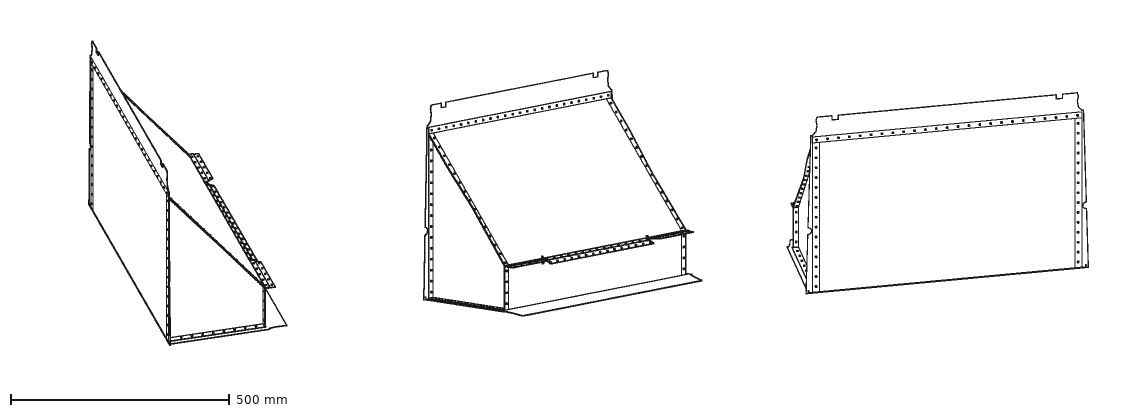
import cadquery as cq
import math

SHEET = 1.6
RIVET_HOLE = 4.0
THROUGH = 6.5

BASE_HEIGHT = 450.5
FRONT_HALF_BOTTOM = 330.0
FRONT_HALF_SHOULDER = 319.0
SHOULDER_Z = 404.0
FLOOR_HALF = 325.0
CHUTE_BEND_Y = 240.5
CHUTE_END_Y = 285.5
CHUTE_DROP = 6.5
CHUTE_HALF_START = 321.0
CHUTE_HALF_MIDDLE = 314.5
CHUTE_MIDDLE_Y = 259.0
CHUTE_HALF_END = 309.0
TOP_NOTCH_INNER = 255.0
TOP_NOTCH_OUTER = 269.5
TOP_NOTCH_DEPTH = 10.5
SIDE_NOTCH_Z = 160.0
SIDE_NOTCH_RADIUS = 8.5
CORNER_HOLE = 2.0
CORNER_HOLE_X = 324.5
CORNER_HOLE_Z = 6.0

REAR_Y = 234.0
BOX_HALF = 315.0
WEB_X = 300.5
LIP_BEND_Z = 106.0
SLOPE_ANGLE = 50.5
SLOPE_RISE = math.tan(math.radians(SLOPE_ANGLE))
COVER_TOP_Z = 400.5
FLANGE_Y = 2 * SHEET

WAIST_START_Y = 61.0
WAIST_Y = 130.0
WAIST_HALF = 309.0
LIP_HALF = 312.5

LIP_TILT = 23.0
CENTER_HALF = 178.5
SLOT_OUTER = 183.5
SLOT_BOTTOM_Y = 230.5
SLOT_BOTTOM_Z = 92.5
COVER_END_LIP_Y = 244.5
COVER_CENTER_LIP_Y = 242.5
REAR_END_LIP_Y = 257.0
REAR_CENTER_LIP_Y = 255.0
END_LIP_TIP_X = 195.5

RIVET_X = 306.5
REAR_RIVET_X = 305.0
RIVET_PITCH = 25.45
TOP_ROW_Z = 392.5
TOP_ROW_COUNT = 25
LOWEST_RIVET_Z = 16.0
FRONT_COLUMN_COUNT = 15
REAR_COLUMN_COUNT = 4
FLOOR_ROW_Y = 34.5
FLOOR_ROW_COUNT = 8
SLOPE_ROW_START_Y = 11.0
SLOPE_ROW_END_Y = 229.0
SLOPE_ROW_COUNT = 15
END_LIP_RIVET_X = 300.5
END_LIP_COUNT = 5
CENTER_LIP_RIVET_X = 172.5
CENTER_LIP_COUNT = 15
LIP_INNER_ROW_Y = 238.5
END_LIP_OUTER_ROW_Y = 252.0
CENTER_LIP_OUTER_ROW_Y = 248.5


def both_sides(points):
    """Close a symmetric outline from its right half, listed from start to end."""
    return points + [(-x, v) for x, v in reversed(points)]


def evenly(start, end, count):
    return [start + (end - start) * i / (count - 1) for i in range(count)]


def run(start, pitch, count):
    return [start + pitch * i for i in range(count)]


def bent_sheet(path, x_start, x_end):
    """Sheet following a (y, z) path, with its thickness to the left of the path direction."""
    angles = [math.atan2(b[1] - a[1], b[0] - a[0]) for a, b in zip(path, path[1:])]
    arriving = angles[:1] + angles
    leaving = angles + angles[-1:]
    far_side = []
    for (y, z), before, after in zip(path, arriving, leaving):
        normal = (before + after + math.pi) / 2
        reach = SHEET / math.cos((after - before) / 2)
        far_side.append((y + reach * math.cos(normal), z + reach * math.sin(normal)))
    outline = path + far_side[::-1]
    return cq.Workplane("YZ").workplane(offset=x_start).polyline(outline).close().extrude(x_end - x_start)


def holes(points, direction):
    """Rivet hole cutters centred on the given points along a direction."""
    cutters = [
        cq.Solid.makeCylinder(RIVET_HOLE / 2, 2 * THROUGH, cq.Vector(p) - cq.Vector(direction) * THROUGH,
                              cq.Vector(direction))
        for p in points
    ]
    return cq.Workplane(cq.Compound.makeCompound(cutters))


def slope_z(y):
    return LIP_BEND_Z + (REAR_Y - y) * SLOPE_RISE


def lip_z(y, tilt, depth):
    """Height of a lip face, measured at a depth below the cover's top face."""
    return LIP_BEND_Z - depth / math.cos(tilt) - math.tan(tilt) * (y - REAR_Y)


def side_columns(x, y, count):
    zs = run(LOWEST_RIVET_Z, RIVET_PITCH, count)
    return holes([(s * x, y, z) for s in (-1, 1) for z in zs], (0, 1, 0))


top_row_half = RIVET_PITCH * (TOP_ROW_COUNT - 1) / 2
top_row_holes = holes([(x, 0, TOP_ROW_Z) for x in evenly(-top_row_half, top_row_half, TOP_ROW_COUNT)], (0, 1, 0))
front_holes = side_columns(RIVET_X, 0, FRONT_COLUMN_COUNT)
rear_holes = side_columns(REAR_RIVET_X, REAR_Y, REAR_COLUMN_COUNT)
floor_holes = holes(
    [(s * RIVET_X, y, 0) for s in (-1, 1) for y in run(FLOOR_ROW_Y, RIVET_PITCH, FLOOR_ROW_COUNT)], (0, 0, 1)
)
slope_normal = (0, math.sin(math.radians(SLOPE_ANGLE)), math.cos(math.radians(SLOPE_ANGLE)))
slope_holes = holes(
    [(s * REAR_RIVET_X, y, slope_z(y)) for s in (-1, 1)
     for y in evenly(SLOPE_ROW_START_Y, SLOPE_ROW_END_Y, SLOPE_ROW_COUNT)],
    slope_normal,
)
end_lip_xs = run(END_LIP_RIVET_X, -RIVET_PITCH, END_LIP_COUNT)
end_lip_points = [(s * x, y, LIP_BEND_Z) for s in (-1, 1) for x in end_lip_xs
                  for y in (LIP_INNER_ROW_Y, END_LIP_OUTER_ROW_Y)]
center_lip_points = [(x, y, lip_z(y, math.radians(LIP_TILT), 0))
                     for x in evenly(-CENTER_LIP_RIVET_X, CENTER_LIP_RIVET_X, CENTER_LIP_COUNT)
                     for y in (LIP_INNER_ROW_Y, CENTER_LIP_OUTER_ROW_Y)]
lip_holes = holes(end_lip_points + center_lip_points, (0, 0, 1))


def make_base():
    half = [
        (FRONT_HALF_BOTTOM, 0), (FRONT_HALF_SHOULDER, SHOULDER_Z), (316.0, SHOULDER_Z), (307.0, 413.5),
        (304.5, 429.5), (307.0, 441.0), (304.5, BASE_HEIGHT),
        (TOP_NOTCH_OUTER, BASE_HEIGHT), (TOP_NOTCH_OUTER, BASE_HEIGHT - TOP_NOTCH_DEPTH),
        (TOP_NOTCH_INNER, BASE_HEIGHT - TOP_NOTCH_DEPTH), (TOP_NOTCH_INNER, BASE_HEIGHT),
    ]
    front = cq.Workplane("XZ").polyline(both_sides(half)).close().extrude(-SHEET)
    corner_holes = (
        cq.Workplane("XZ").pushPoints([(-CORNER_HOLE_X, CORNER_HOLE_Z), (CORNER_HOLE_X, CORNER_HOLE_Z)])
        .circle(CORNER_HOLE / 2).extrude(-SHEET)
    )
    edge = FRONT_HALF_BOTTOM - (FRONT_HALF_BOTTOM - FRONT_HALF_SHOULDER) * SIDE_NOTCH_Z / SHOULDER_Z
    notches = (
        cq.Workplane("XZ").pushPoints([(-edge, SIDE_NOTCH_Z), (edge, SIDE_NOTCH_Z)])
        .circle(SIDE_NOTCH_RADIUS).extrude(-SHEET)
    )
    run_out = CHUTE_END_Y + SHEET
    drop = CHUTE_DROP / (CHUTE_END_Y - CHUTE_BEND_Y)
    floor = bent_sheet([(0, 0), (CHUTE_BEND_Y, 0), (run_out, -drop * (run_out - CHUTE_BEND_Y))],
                       -FLOOR_HALF, FLOOR_HALF)
    plan = both_sides([
        (FLOOR_HALF, 0), (FLOOR_HALF, CHUTE_BEND_Y), (CHUTE_HALF_START, CHUTE_BEND_Y),
        (CHUTE_HALF_MIDDLE, CHUTE_MIDDLE_Y), (CHUTE_HALF_END, CHUTE_END_Y),
    ])
    floor = floor.intersect(cq.Workplane("XY").polyline(plan).close().extrude(BASE_HEIGHT, both=True))
    body = front.cut(notches).cut(corner_holes).union(floor)
    return body.cut(top_row_holes).cut(front_holes).cut(floor_holes)


def slope_waist():
    """Shallow cut into both side edges of the slope, leaving the floor flanges whole."""
    waste = (
        cq.Workplane("XY").workplane(offset=2 * SHEET)
        .polyline([(BOX_HALF, WAIST_START_Y), (WAIST_HALF, WAIST_Y), (LIP_HALF, REAR_Y - 2 * SHEET),
                   (LIP_HALF, CHUTE_END_Y), (FLOOR_HALF, CHUTE_END_Y), (FLOOR_HALF, WAIST_START_Y)])
        .close().extrude(BASE_HEIGHT)
    )
    return waste.union(waste.mirror("YZ"))


def lip_gaps():
    """Slots between the lips, each widening along the bevelled end lip."""
    outline = [
        (CENTER_HALF, SLOT_BOTTOM_Y), (SLOT_OUTER, SLOT_BOTTOM_Y), (SLOT_OUTER, LIP_INNER_ROW_Y),
        (END_LIP_TIP_X, REAR_END_LIP_Y), (CENTER_HALF, REAR_END_LIP_Y),
    ]
    gap = cq.Workplane("XY").workplane(offset=SLOT_BOTTOM_Z).polyline(outline).close().extrude(BASE_HEIGHT)
    return gap.union(gap.mirror("YZ"))


def cover_strip(tilt, lip_y, x_start, x_end):
    path = [(lip_y, lip_z(lip_y, tilt, 0)), (REAR_Y, LIP_BEND_Z), (FLANGE_Y, slope_z(FLANGE_Y)),
            (FLANGE_Y, COVER_TOP_Z)]
    return bent_sheet(path, x_start, x_end)


def rear_strip(tilt, lip_y, x_start, x_end):
    inner_y = REAR_Y - SHEET
    path = [(lip_y, lip_z(lip_y, tilt, SHEET)), (inner_y, lip_z(inner_y, tilt, SHEET)), (inner_y, SHEET)]
    return bent_sheet(path, x_start, x_end)


def across(strip, end_lip_y, center_lip_y):
    """Join the level end strips and the tilted centre strip into one sheet."""
    ends = strip(0, end_lip_y, -BOX_HALF, BOX_HALF)
    middle = cq.Workplane("XY").box(2 * SLOT_OUTER, 3 * BOX_HALF, 3 * BASE_HEIGHT)
    center = strip(math.radians(LIP_TILT), center_lip_y, -SLOT_OUTER, SLOT_OUTER)
    return ends.cut(middle).union(center).cut(lip_gaps())


def make_cover():
    body = across(cover_strip, COVER_END_LIP_Y, COVER_CENTER_LIP_Y)
    return body.cut(slope_waist()).cut(top_row_holes).cut(slope_holes).cut(lip_holes)


def make_rear_wall():
    body = across(rear_strip, REAR_END_LIP_Y, REAR_CENTER_LIP_Y)
    return body.cut(slope_waist()).cut(lip_holes).cut(rear_holes)


def make_side_panel(side):
    """Web with flanges turned outward along all four edges; side is -1 or 1."""
    back = REAR_Y - SHEET
    under = SHEET / math.cos(math.radians(SLOPE_ANGLE))
    corners = [(SHEET, SHEET), (back, SHEET), (back, slope_z(back) - under), (SHEET, slope_z(SHEET) - under)]
    web_inner = WEB_X - SHEET
    block = cq.Workplane("YZ").workplane(offset=web_inner).polyline(corners).close().extrude(BOX_HALF - web_inner)
    recess = (
        cq.Workplane("YZ").workplane(offset=WEB_X).polyline(corners).close()
        .offset2D(-SHEET, "intersection").extrude(BOX_HALF - WEB_X)
    )
    panel = block.cut(recess).cut(slope_waist())
    if side < 0:
        panel = panel.mirror("YZ")
    return panel.cut(front_holes).cut(rear_holes).cut(floor_holes).cut(slope_holes)


base = make_base()
cover = make_cover()
rear_wall = make_rear_wall()
side_panels = [make_side_panel(side) for side in (-1, 1)]

result = cq.Compound.makeCompound(
    [base.val(), cover.val(), rear_wall.val(), *[panel.val() for panel in side_panels]]
)